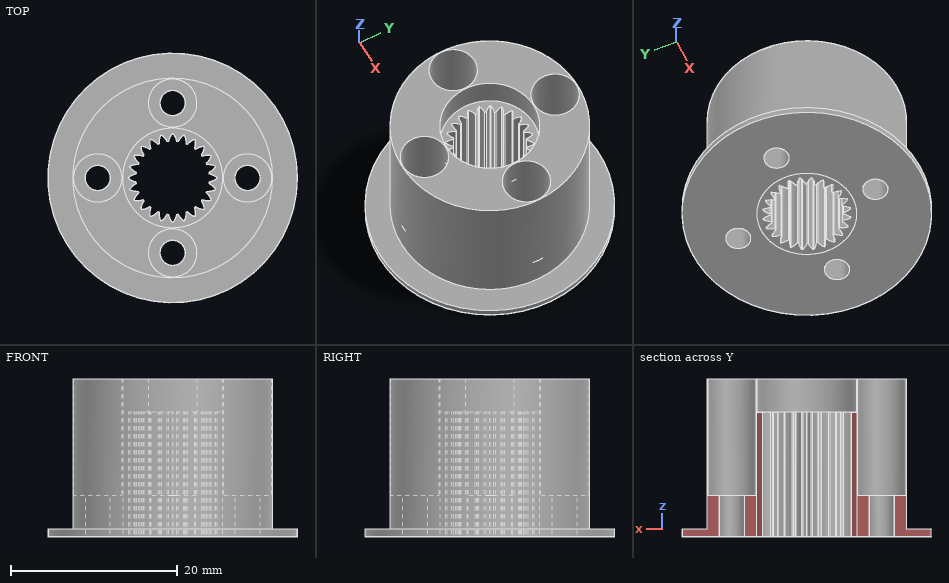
import cadquery as cq
import math

FLANGE_DIAMETER = 30.0
FLANGE_THICKNESS = 1.0
HUB_DIAMETER = 24.0
HUB_HEIGHT = 18.0
TOTAL_HEIGHT = FLANGE_THICKNESS + HUB_HEIGHT

BORE_DIAMETER = 12.0
RING_RECESS = 4.0
RING_HEIGHT = TOTAL_HEIGHT - RING_RECESS

SCREW_COUNT = 4
SCREW_CIRCLE_RADIUS = (HUB_DIAMETER + BORE_DIAMETER) / 4
SCREW_DIAMETER = 3.0
HEAD_WALL = 0.1
HEAD_DIAMETER = (HUB_DIAMETER - BORE_DIAMETER) / 2 - 2 * HEAD_WALL
HEAD_SEAT_HEIGHT = 5.0

GROOVE_COUNT = 24
GROOVE_PITCH_ANGLE = 2 * math.pi / GROOVE_COUNT
LAND_RADIUS = 4.4
GROOVE_TIP_RADIUS = 5.3
FLANK_MIDDLE_RADIUS = (LAND_RADIUS + GROOVE_TIP_RADIUS) / 2
GROOVE_MOUTH_WIDTH = 0.95
GROOVE_MIDDLE_WIDTH = 0.65
GROOVE_TIP_WIDTH = 0.1


def make_housing():
    """Hub and flange with a through bore and counterbored screw holes."""
    flange = cq.Workplane("XY").circle(FLANGE_DIAMETER / 2).extrude(FLANGE_THICKNESS)
    hub = cq.Workplane("XY").circle(HUB_DIAMETER / 2).extrude(TOTAL_HEIGHT)
    bore = cq.Workplane("XY").circle(BORE_DIAMETER / 2).extrude(TOTAL_HEIGHT)
    housing = flange.union(hub).cut(bore)
    return (
        housing.faces(">Z")
        .workplane(origin=(0, 0, TOTAL_HEIGHT))
        .polarArray(SCREW_CIRCLE_RADIUS, 0, 360, SCREW_COUNT)
        .cboreHole(SCREW_DIAMETER, HEAD_DIAMETER, TOTAL_HEIGHT - HEAD_SEAT_HEIGHT)
    )


def groove_point(groove_angle, radius, signed_width):
    """Point at a radius, offset around the axis by half the groove width there."""
    angle = groove_angle + signed_width / 2 / radius
    return (radius * math.cos(angle), radius * math.sin(angle))


def spline_outline():
    """Closed outline of the toothed opening, one groove after another."""
    outline = cq.Workplane("XY").moveTo(*groove_point(0, LAND_RADIUS, -GROOVE_MOUTH_WIDTH))
    for index in range(GROOVE_COUNT):
        angle = index * GROOVE_PITCH_ANGLE
        next_angle = angle + GROOVE_PITCH_ANGLE
        outline = (
            outline.threePointArc(
                groove_point(angle, FLANK_MIDDLE_RADIUS, -GROOVE_MIDDLE_WIDTH),
                groove_point(angle, GROOVE_TIP_RADIUS, -GROOVE_TIP_WIDTH),
            )
            .threePointArc(
                groove_point(angle, GROOVE_TIP_RADIUS, 0),
                groove_point(angle, GROOVE_TIP_RADIUS, GROOVE_TIP_WIDTH),
            )
            .threePointArc(
                groove_point(angle, FLANK_MIDDLE_RADIUS, GROOVE_MIDDLE_WIDTH),
                groove_point(angle, LAND_RADIUS, GROOVE_MOUTH_WIDTH),
            )
            .threePointArc(
                groove_point(angle + GROOVE_PITCH_ANGLE / 2, LAND_RADIUS, 0),
                groove_point(next_angle, LAND_RADIUS, -GROOVE_MOUTH_WIDTH),
            )
        )
    return outline.close()


def make_spline_ring():
    """Ring that fills the bore up to the recess, with the spline cut through it."""
    ring = cq.Workplane("XY").circle(BORE_DIAMETER / 2).extrude(RING_HEIGHT)
    return ring.cut(spline_outline().extrude(RING_HEIGHT))


housing = make_housing()
spline_ring = make_spline_ring()

result = cq.Compound.makeCompound([housing.val(), spline_ring.val()])